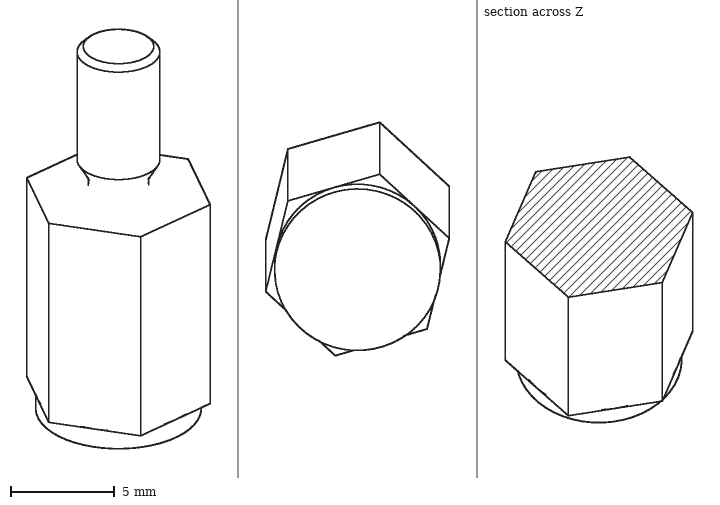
import cadquery as cq
import math


across_flats = 8.0
foot_height = 1.0
body_top = 12.0
total_height = 20.0

stud_diameter = 4.0
neck_diameter = 2.9
tip_chamfer = 0.3
neck_fillet = 0.4
neck_straight_length = 0.3
cone_half_angle = math.radians(30)

stud_radius = stud_diameter / 2
neck_radius = neck_diameter / 2
neck_bottom = body_top + neck_fillet
neck_top = neck_bottom + neck_straight_length

cone_start_radius = neck_radius + neck_fillet * (1 - math.cos(cone_half_angle))
cone_bottom = neck_top + neck_fillet * math.sin(cone_half_angle)
cone_top = cone_bottom + (stud_radius - cone_start_radius) / math.tan(cone_half_angle)


def make_body():
    """Hexagonal prism, corners along X, standing on a round foot."""
    foot = cq.Workplane("XY").circle(across_flats / 2).extrude(foot_height)
    across_corners = across_flats / math.cos(math.pi / 6)
    hexagon = (
        cq.Workplane("XY")
        .workplane(offset=foot_height)
        .polygon(6, across_corners)
        .extrude(body_top - foot_height)
    )
    return foot.union(hexagon)


def make_stud():
    """Revolved stud: filleted neck, cone, cylinder and chamfered tip."""
    return (
        cq.Workplane("XZ")
        .moveTo(0, body_top)
        .lineTo(neck_radius + neck_fillet, body_top)
        .radiusArc((neck_radius, neck_bottom), neck_fillet)
        .lineTo(neck_radius, neck_top)
        .radiusArc((cone_start_radius, cone_bottom), neck_fillet)
        .lineTo(stud_radius, cone_top)
        .lineTo(stud_radius, total_height - tip_chamfer)
        .lineTo(stud_radius - tip_chamfer, total_height)
        .lineTo(0, total_height)
        .close()
        .revolve(360, (0, 0, 0), (0, 1, 0))
    )


result = make_body().union(make_stud())